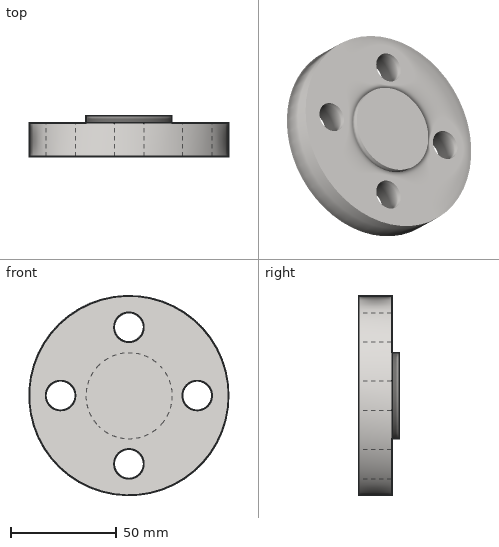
import cadquery as cq

flange_diameter = 95.0
flange_thickness = 16.0

boss_diameter = 41.0
boss_height = 3.5

bolt_circle_diameter = 65.0
bolt_hole_diameter = 14.0
bolt_hole_count = 4


def cylinder_along_y(diameter, length, start_y):
    """Solid cylinder about the Y axis, running from start_y toward +Y."""
    start_plane = cq.Plane(origin=(0, start_y, 0), xDir=(1, 0, 0), normal=(0, 1, 0))
    return cq.Workplane(start_plane).circle(diameter / 2).extrude(length)


def drill_bolt_holes(body):
    """Cut the evenly spaced bolt holes, the first one on the X axis."""
    return (
        body.faces("<Y")
        .workplane(origin=(0, 0, 0))
        .polarArray(bolt_circle_diameter / 2, 0, 360, bolt_hole_count)
        .hole(bolt_hole_diameter)
    )


flange = cylinder_along_y(flange_diameter, flange_thickness, 0)
boss = cylinder_along_y(boss_diameter, boss_height, flange_thickness)
result = drill_bolt_holes(flange.union(boss))